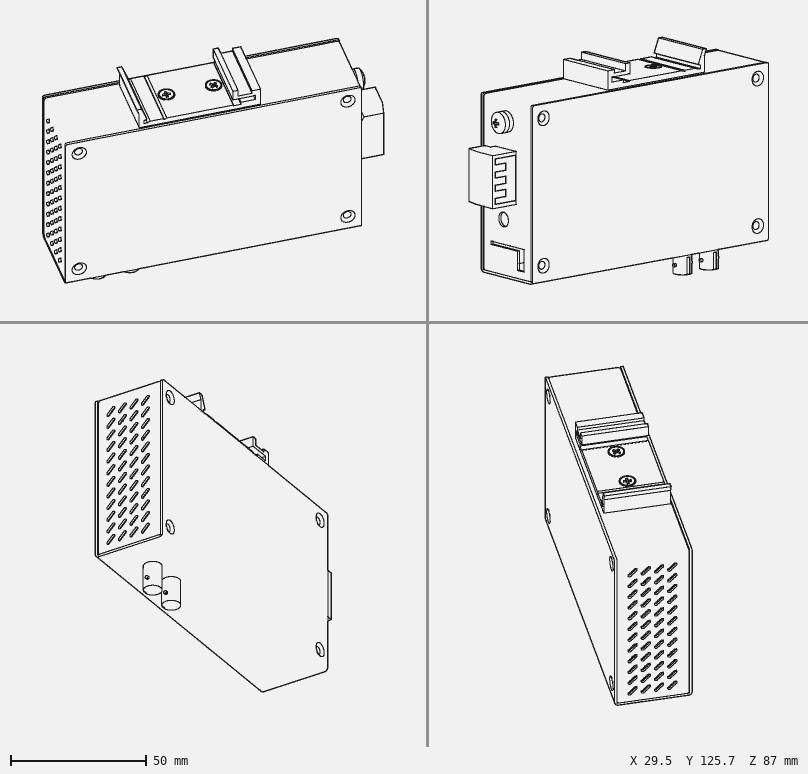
import cadquery as cq
import math

EPS = 0.1

CASE_WIDTH = 29.5
CASE_LENGTH = 114.4
CASE_HEIGHT = 67.9
SHEET = 1.0
COVER_BEND_RADIUS = 1.5
COVER_CORNER_RADIUS = 0.8
SHELL_BEND_RADIUS = 1.1
SHELL_WIDTH = CASE_WIDTH - 2 * SHEET

SINK_DIAMETER = 5.5
SINK_HOLE_DIAMETER = 3.0
SINK_END_INSET = 5.3
SINK_LOW_Z = 6.5
SINK_HIGH_Z = 62.5

VENT_COLUMNS = 4
VENT_ROWS = 12
VENT_PITCH = 5.0
VENT_LENGTH = 4.4
VENT_WIDTH = 1.3
VENT_ANGLE = 45
VENT_CENTRE_X = -0.4
VENT_CENTRE_Z = 33.5

LAMP_HOLE_DIAMETER = 5.5
LAMP_HOLE_X = 1.9
LAMP_HOLE_Z = 22.0
WINDOW_LEFT_X = -9.8
WINDOW_RIGHT_X = 9.2
WINDOW_TOP_Z = 12.6
WINDOW_LEG_WIDTH = 3.8
WINDOW_BAR_HEIGHT = 1.3
WINDOW_HEIGHT = 8.5

BRACKET_WIDTH = 25.4
BRACKET_X = 0.5
BRACKET_BACK_Y = 75.8
BRACKET_FRONT_Y = 28.9
BRACKET_HEIGHT = 8.8
BRACKET_PLATE = 2.1

PLATE_SCREW_X = 0.1
PLATE_SCREW_HEAD_DIAMETER = 6.2
PLATE_SCREW_HEAD_CHAMFER = 0.4
PLATE_SCREW_HEAD_HEIGHT = 1.3
PLATE_SCREW_SHANK_DIAMETER = 3.0
PLATE_SCREW_SHANK_LENGTH = 3.8
PLATE_SCREWS = [(61.6, 45), (43.4, 0)]

CROSS_LENGTH = 3.0
CROSS_ARM_WIDTH = 0.8
CROSS_DEPTH = 0.8

GROUND_X = 0.3
GROUND_Z = 59.5
GROUND_DIAMETER = 8.0
GROUND_WASHER_THICKNESS = 1.9
GROUND_HEAD_HEIGHT = 2.0
GROUND_DOME_HEIGHT = 1.5
GROUND_SHANK_DIAMETER = 3.8
GROUND_SHANK_LENGTH = 5.0

TERMINAL_LEFT_X = -5.3
TERMINAL_STEM_RIGHT_X = 6.5
TERMINAL_RIGHT_X = 9.9
TERMINAL_BOTTOM_Z = 28.9
TERMINAL_HEIGHT = 20.1
TERMINAL_REACH = 11.3
TERMINAL_SLOPE_START_X = 4.0
TERMINAL_SLOPE_DROP = 1.3
TERMINAL_LATCH_GAP = 1.1
TERMINAL_RAMP_LENGTH = 1.3
TERMINAL_RAMP_DROP = 2.5

COMB_DEPTH = 0.4
COMB_BASE_REACH = 4.8
COMB_TOOTH_REACH = 9.9
COMB_TEETH = 4
COMB_TOOTH_WIDTH = 2.3
COMB_HEIGHT = 17.2

CONNECTOR_DIAMETER = 7.0
CONNECTOR_LENGTH = 10.3
CONNECTOR_YS = [29.3, 16.5]
KEYWAY_WIDTH = 1.3
KEYWAY_LENGTH = 6.5
KEYWAY_DEPTH = 0.3
LUG_DIAMETER = 1.3
LUG_SPAN = 8.5
LUG_DROP = 6.8


def box(x0, x1, y0, y1, z0, z1):
    """Box between two opposite corners."""
    return cq.Workplane("XY").box(x1 - x0, y1 - y0, z1 - z0, centered=False).translate((x0, y0, z0))


def cylinder_up(diameter, height, x, y, z):
    """Cylinder that rises along +Z from (x, y, z)."""
    return cq.Workplane("XY").circle(diameter / 2).extrude(height).translate((x, y, z))


def cylinder_back(diameter, length, x, y, z):
    """Cylinder that runs along +Y from (x, y, z)."""
    return cq.Workplane("XZ").circle(diameter / 2).extrude(-length).translate((x, y, z))


def cross_recess(turn):
    """Cross-shaped cutter below the XY plane, turned about Z."""
    arm = cq.Workplane("XY").rect(CROSS_LENGTH, CROSS_ARM_WIDTH).extrude(-CROSS_DEPTH)
    other_arm = arm.rotate((0, 0, 0), (0, 0, 1), 90)
    return arm.union(other_arm).rotate((0, 0, 0), (0, 0, 1), turn)


def make_cover():
    half = CASE_WIDTH / 2
    cover = box(-half, half, 0, CASE_LENGTH, 0, CASE_HEIGHT)
    cover = cover.edges("|Y and <Z").fillet(COVER_BEND_RADIUS)
    cover = cover.edges("|X and >Z").fillet(COVER_CORNER_RADIUS)
    inner_half = SHELL_WIDTH / 2
    cover = cover.cut(box(-inner_half, inner_half, -EPS, CASE_LENGTH + EPS, SHEET, CASE_HEIGHT + EPS))
    for y in (SINK_END_INSET, CASE_LENGTH - SINK_END_INSET):
        for z in (SINK_LOW_Z, SINK_HIGH_Z):
            cone = cq.Solid.makeCone(
                SINK_DIAMETER / 2, SINK_HOLE_DIAMETER / 2, SHEET, cq.Vector(-half, y, z), cq.Vector(1, 0, 0)
            )
            cover = cover.cut(cq.Workplane(cone))
            cover = cover.cut(cq.Workplane(cone.mirror("YZ")))
    for y in CONNECTOR_YS:
        cover = cover.cut(cylinder_up(CONNECTOR_DIAMETER, SHEET + 2 * EPS, 0, y, -EPS))
    return cover


def vent_slots():
    centres = [
        (
            VENT_CENTRE_X + (column - (VENT_COLUMNS - 1) / 2) * VENT_PITCH,
            VENT_CENTRE_Z + (row - (VENT_ROWS - 1) / 2) * VENT_PITCH,
        )
        for column in range(VENT_COLUMNS)
        for row in range(VENT_ROWS)
    ]
    slots = cq.Workplane("XZ").pushPoints(centres).slot2D(VENT_LENGTH, VENT_WIDTH, VENT_ANGLE)
    return slots.extrude(-(SHEET + EPS))


def back_openings():
    """Cutters through the +Y wall: lamp hole, L-shaped window, ground screw hole, terminal opening."""
    y0 = CASE_LENGTH - SHEET - EPS
    y1 = CASE_LENGTH + EPS
    lamp_hole = cylinder_back(LAMP_HOLE_DIAMETER, y1 - y0, LAMP_HOLE_X, y0, LAMP_HOLE_Z)
    bar_bottom = WINDOW_TOP_Z - WINDOW_BAR_HEIGHT
    window_bar = box(WINDOW_LEFT_X, WINDOW_RIGHT_X, y0, y1, bar_bottom, WINDOW_TOP_Z)
    leg_right = WINDOW_LEFT_X + WINDOW_LEG_WIDTH
    window_leg = box(WINDOW_LEFT_X, leg_right, y0, y1, WINDOW_TOP_Z - WINDOW_HEIGHT, WINDOW_TOP_Z)
    ground_hole = cylinder_back(GROUND_SHANK_DIAMETER, y1 - y0, GROUND_X, y0, GROUND_Z)
    terminal_top = TERMINAL_BOTTOM_Z + TERMINAL_HEIGHT
    terminal_opening = box(TERMINAL_LEFT_X, TERMINAL_STEM_RIGHT_X, y0, y1, TERMINAL_BOTTOM_Z, terminal_top)
    return [lamp_hole, window_bar, window_leg, ground_hole, terminal_opening]


def make_shell():
    half = SHELL_WIDTH / 2
    shell = box(-half, half, 0, CASE_LENGTH, SHEET, CASE_HEIGHT)
    shell = shell.edges("|Z or >Z").fillet(SHELL_BEND_RADIUS)
    shell = shell.cut(
        box(-half + SHEET, half - SHEET, SHEET, CASE_LENGTH - SHEET, SHEET - EPS, CASE_HEIGHT - SHEET)
    )
    shell = shell.cut(vent_slots())
    for cutter in back_openings():
        shell = shell.cut(cutter)
    for y, _ in PLATE_SCREWS:
        hole = cylinder_up(PLATE_SCREW_SHANK_DIAMETER, SHEET + 2 * EPS, PLATE_SCREW_X, y,
                           CASE_HEIGHT - SHEET - EPS)
        shell = shell.cut(hole)
    return shell


def make_bracket():
    profile = [
        (BRACKET_FRONT_Y, 0),
        (BRACKET_BACK_Y, 0),
        (BRACKET_BACK_Y, 7.3),
        (72.5, 7.3),
        (72.5, 6.0),
        (67.2, 6.0),
        (67.2, BRACKET_HEIGHT),
        (65.1, BRACKET_HEIGHT),
        (65.1, 4.7),
        (73.8, 4.7),
        (73.8, 2.8),
        (68.3, 2.8),
        (68.3, 1.8),
        (65.4, 1.8),
        (65.4, BRACKET_PLATE),
        (39.6, BRACKET_PLATE),
        (38.5, 1.6),
        (38.5, BRACKET_PLATE),
        (33.2, BRACKET_PLATE),
        (32.1, 1.6),
        (30.8, 1.6),
        (30.8, 2.9),
        (32.0, 3.4),
        (29.8, BRACKET_HEIGHT),
        (27.9, BRACKET_HEIGHT),
        (BRACKET_FRONT_Y, 6.3),
    ]
    bracket = cq.Workplane("YZ").polyline(profile).close().extrude(BRACKET_WIDTH)
    bracket = bracket.translate((BRACKET_X - BRACKET_WIDTH / 2, 0, CASE_HEIGHT))
    top = CASE_HEIGHT + BRACKET_PLATE
    for y, _ in PLATE_SCREWS:
        pocket_bottom = top - PLATE_SCREW_HEAD_HEIGHT
        pocket_height = PLATE_SCREW_HEAD_HEIGHT + EPS
        bracket = bracket.cut(
            cylinder_up(PLATE_SCREW_HEAD_DIAMETER, pocket_height, PLATE_SCREW_X, y, pocket_bottom)
        )
        bracket = bracket.cut(
            cylinder_up(PLATE_SCREW_SHANK_DIAMETER, BRACKET_PLATE, PLATE_SCREW_X, y, CASE_HEIGHT)
        )
    return bracket


def make_plate_screw(y, turn):
    """Bracket screw with its head flush with the bracket plate."""
    head = cylinder_up(PLATE_SCREW_HEAD_DIAMETER, PLATE_SCREW_HEAD_HEIGHT, 0, 0, -PLATE_SCREW_HEAD_HEIGHT)
    head = head.faces(">Z").chamfer(PLATE_SCREW_HEAD_CHAMFER)
    shank_bottom = -PLATE_SCREW_HEAD_HEIGHT - PLATE_SCREW_SHANK_LENGTH
    shank = cylinder_up(PLATE_SCREW_SHANK_DIAMETER, PLATE_SCREW_SHANK_LENGTH, 0, 0, shank_bottom)
    screw = head.union(shank).cut(cross_recess(turn))
    return screw.translate((PLATE_SCREW_X, y, CASE_HEIGHT + BRACKET_PLATE))


def make_ground_washer():
    ring = cq.Workplane("XZ").circle(GROUND_DIAMETER / 2).circle(GROUND_SHANK_DIAMETER / 2)
    return ring.extrude(-GROUND_WASHER_THICKNESS).translate((GROUND_X, CASE_LENGTH, GROUND_Z))


def make_ground_screw():
    """Domed screw, turned about Z with its head seat at Z = 0 and then laid along +Y."""
    radius = GROUND_DIAMETER / 2
    rise = GROUND_DOME_HEIGHT
    dome_radius = (radius**2 + rise**2) / (2 * rise)
    half_angle = math.asin(radius / dome_radius) / 2
    top = GROUND_HEAD_HEIGHT + rise
    dome_centre_z = top - dome_radius
    dome_middle = (dome_radius * math.sin(half_angle), dome_centre_z + dome_radius * math.cos(half_angle))
    head = (
        cq.Workplane("XZ")
        .lineTo(radius, 0)
        .lineTo(radius, GROUND_HEAD_HEIGHT)
        .threePointArc(dome_middle, (0, top))
        .close()
        .revolve(360, (0, 0, 0), (0, 1, 0))
    )
    shank = cylinder_up(GROUND_SHANK_DIAMETER, GROUND_SHANK_LENGTH, 0, 0, -GROUND_SHANK_LENGTH)
    screw = head.union(shank).cut(cross_recess(0).translate((0, 0, top)))
    screw = screw.rotate((0, 0, 0), (1, 0, 0), -90)
    return screw.translate((GROUND_X, CASE_LENGTH + GROUND_WASHER_THICKNESS, GROUND_Z))


def comb_recess():
    """Cutter for the shallow comb-shaped recess in the -X side, with its teeth pointing to +Y."""
    x0 = TERMINAL_LEFT_X
    x1 = x0 + COMB_DEPTH
    z0 = TERMINAL_BOTTOM_Z + (TERMINAL_HEIGHT - COMB_HEIGHT) / 2
    comb = box(x0, x1, CASE_LENGTH, CASE_LENGTH + COMB_BASE_REACH, z0, z0 + COMB_HEIGHT)
    pitch = (COMB_HEIGHT - COMB_TOOTH_WIDTH) / (COMB_TEETH - 1)
    for tooth in range(COMB_TEETH):
        tooth_z = z0 + tooth * pitch
        comb = comb.union(
            box(x0, x1, CASE_LENGTH, CASE_LENGTH + COMB_TOOTH_REACH, tooth_z, tooth_z + COMB_TOOTH_WIDTH)
        )
    return comb


def latch_ramp():
    """Wedge cutter that slopes the top of the overhang down towards the case."""
    top = TERMINAL_BOTTOM_Z + TERMINAL_HEIGHT
    latch_y = CASE_LENGTH + TERMINAL_LATCH_GAP
    triangle = [(latch_y, top), (latch_y + TERMINAL_RAMP_LENGTH, top), (latch_y, top - TERMINAL_RAMP_DROP)]
    wedge = cq.Workplane("YZ").polyline(triangle).close().extrude(TERMINAL_RIGHT_X - TERMINAL_STEM_RIGHT_X)
    return wedge.translate((TERMINAL_STEM_RIGHT_X, 0, 0))


def make_terminal():
    end_y = CASE_LENGTH + TERMINAL_REACH
    latch_y = CASE_LENGTH + TERMINAL_LATCH_GAP
    inner_y = CASE_LENGTH - SHEET
    outline = [
        (TERMINAL_LEFT_X, inner_y),
        (TERMINAL_LEFT_X, end_y),
        (TERMINAL_SLOPE_START_X, end_y),
        (TERMINAL_RIGHT_X, end_y - TERMINAL_SLOPE_DROP),
        (TERMINAL_RIGHT_X, latch_y),
        (TERMINAL_STEM_RIGHT_X, latch_y),
        (TERMINAL_STEM_RIGHT_X, inner_y),
    ]
    terminal = cq.Workplane("XY").polyline(outline).close().extrude(TERMINAL_HEIGHT)
    terminal = terminal.translate((0, 0, TERMINAL_BOTTOM_Z))
    return terminal.cut(comb_recess()).cut(latch_ramp())


def make_connector(y):
    """Bayonet barrel through the floor, with two side lugs and a keyway on its -X side."""
    radius = CONNECTOR_DIAMETER / 2
    barrel = cylinder_up(CONNECTOR_DIAMETER, CONNECTOR_LENGTH + SHEET, 0, 0, -CONNECTOR_LENGTH)
    lugs = cylinder_back(LUG_DIAMETER, LUG_SPAN, 0, -LUG_SPAN / 2, -LUG_DROP)
    keyway = box(-radius - EPS, -radius + KEYWAY_DEPTH, -KEYWAY_WIDTH / 2, KEYWAY_WIDTH / 2,
                 -CONNECTOR_LENGTH, -CONNECTOR_LENGTH + KEYWAY_LENGTH)
    return barrel.union(lugs).cut(keyway).translate((0, y, 0))


cover = make_cover()
shell = make_shell()
bracket = make_bracket()
plate_screws = [make_plate_screw(y, turn) for y, turn in PLATE_SCREWS]
ground_washer = make_ground_washer()
ground_screw = make_ground_screw()
terminal = make_terminal()
connectors = [make_connector(y) for y in CONNECTOR_YS]

result = cq.Compound.makeCompound(
    [
        cover.val(),
        shell.val(),
        bracket.val(),
        *[screw.val() for screw in plate_screws],
        ground_washer.val(),
        ground_screw.val(),
        terminal.val(),
        *[connector.val() for connector in connectors],
    ]
)